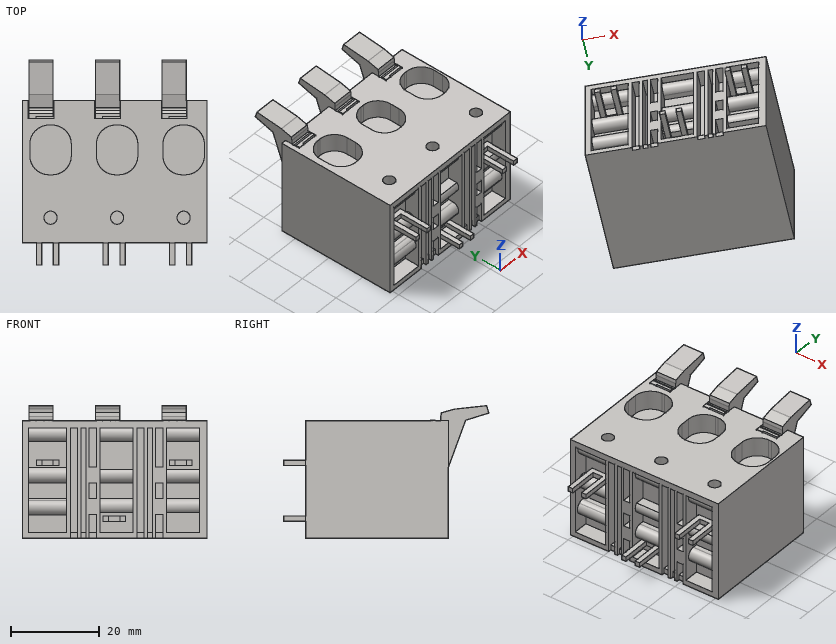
import cadquery as cq


width = 41.55
depth = 32.15
height = 26.5
pitch = 15.0
poles = 3
wall = 1.4

chamber_right = 9.9
chamber_width = 7.4
chamber_depth = 3.98
chamber_top = 24.9
first_chamber_left = wall

rib_radius = 1.75
rib_y = 2.77
upper_rib_z = 23.6
middle_rib_z = 14.25
lower_rib_z = 7.2
middle_rib_flat = 15.5
lower_rib_flat = 5.8
front_rib_y = 2.55
front_rib_z = 7.05

wide_slot_left = 10.77
wide_slot_width = 1.65
narrow_slot_left = 13.22
narrow_slot_width = 1.1
bridged_slot_left = 15.0
bridged_slot_width = 1.65
sill_setback = 0.8
bridge_height = 3.55
bridge_bottoms = (5.4, 12.5)

hole_x = 6.35
pocket_y = 20.95
pocket_width = 9.35
pocket_length = 11.2
pocket_corner = 4.3
pocket_depth = 5.0
test_hole_y = 5.7
test_hole_diameter = 2.95
test_hole_depth = 3.98

lever_left = 1.45
lever_width = 5.5
lever_clearance = 0.15
recess_front = 28.05
recess_floor = 16.0
lever_top = 29.9
lever_back = 41.25
stem_back = 36.0
stem_back_top = 26.6
stem_front = 30.4
stem_chamfer_run = 0.15
stem_chamfer_top = 28.3
stem_chamfer_bottom = 27.4
handle_tip = 40.75
handle_tip_bottom = 28.2
handle_bend = 33.5
handle_bend_top = 29.15
valley_floor = 26.15
valley_bend = 29.82
valley_bend_height = 26.25
toe_back = 29.15
toe_rise = 0.15
toe_top = height + toe_rise
toe_gap = 0.35
toe_tongue = 1.55

pin_left = 3.15
pin_span = 5.05
pin_size = 1.25
pin_overhang = 5.0
pin_bottoms = (16.35, 3.85, 16.35)


def box(x0, x1, y0, y1, z0, z1):
    """Box between opposite corners."""
    return cq.Workplane("XY").box(x1 - x0, y1 - y0, z1 - z0, centered=False).translate((x0, y0, z0))


def rod(x0, x1, y, z):
    """Round rib core along X."""
    return cq.Workplane("YZ", origin=(x0, 0, 0)).center(y, z).circle(rib_radius).extrude(x1 - x0)


def web(x0, x1, y, z0, z1):
    """Flat web joining a rib to the back of the chamber."""
    return box(x0, x1, y, chamber_depth, z0, z1)


def upper_rib(x0, x1):
    """Rib hanging from the top of the chamber."""
    core = rod(x0, x1, rib_y, upper_rib_z)
    return core.union(web(x0, x1, rib_y, upper_rib_z - rib_radius, chamber_top))


def middle_rib(x0, x1, flattened):
    """Round rib; flattened on top where asked."""
    core = rod(x0, x1, rib_y, middle_rib_z)
    if flattened:
        core = core.cut(box(x0, x1, 0, depth, middle_rib_flat, height))
    return core


def lower_rib(x0, x1):
    """Rib with a level top and a flattened underside."""
    core = rod(x0, x1, rib_y, lower_rib_z)
    core = core.union(web(x0, x1, rib_y, lower_rib_z, lower_rib_z + rib_radius))
    return core.cut(box(x0, x1, 0, depth, 0, lower_rib_flat))


def front_rib(x0, x1):
    """Second rib, slightly in front of the lower rib and below it."""
    core = rod(x0, x1, front_rib_y, front_rib_z)
    return core.union(web(x0, x1, front_rib_y, front_rib_z - rib_radius, front_rib_z))


def chamber(pole):
    """Space of one front chamber, with its ribs left out."""
    first = pole == 0
    x1 = chamber_right + pole * pitch
    x0 = first_chamber_left if first else x1 - chamber_width
    space = box(x0, x1, 0, chamber_depth, wall, chamber_top)
    space = space.cut(upper_rib(x0, x1)).cut(lower_rib(x0, x1))
    space = space.cut(middle_rib(x0, x1, flattened=not first))
    if first:
        space = space.cut(front_rib(x0, x1))
    return space


def slot(x0, slot_width):
    """Front slot that runs out through the bottom over a set-back sill."""
    x1 = x0 + slot_width
    space = box(x0, x1, 0, chamber_depth, wall, chamber_top)
    return space.union(box(x0, x1, 0, sill_setback, 0, wall))


def bridged_slot(x0):
    """Front slot crossed by two bridges."""
    space = slot(x0, bridged_slot_width)
    for z in bridge_bottoms:
        space = space.cut(box(x0, x0 + bridged_slot_width, 0, chamber_depth, z, z + bridge_height))
    return space


def pocket(x):
    """Blind pocket with well rounded corners."""
    start = cq.Workplane("XY", origin=(x, pocket_y, height - pocket_depth))
    space = start.rect(pocket_width, pocket_length).extrude(pocket_depth)
    return space.edges("|Z").fillet(pocket_corner)


def test_hole(x):
    """Small blind hole near the front edge."""
    start = cq.Workplane("XY", origin=(x, test_hole_y, height - test_hole_depth))
    return start.circle(test_hole_diameter / 2).extrude(test_hole_depth)


def lever_recess(offset):
    """Recess for one lever, open at the top and back of the housing."""
    x0 = lever_left + offset - lever_clearance
    x1 = lever_left + offset + lever_width + lever_clearance
    return box(x0, x1, recess_front, depth, recess_floor, height)


def make_housing():
    """Housing with all chambers, slots, holes and recesses cut out."""
    body = box(0, width, 0, depth, 0, height)
    for pole in range(poles):
        offset = pole * pitch
        body = body.cut(chamber(pole))
        body = body.cut(pocket(hole_x + offset)).cut(test_hole(hole_x + offset))
        body = body.cut(lever_recess(offset))
    for gap in range(poles - 1):
        offset = gap * pitch
        body = body.cut(slot(wide_slot_left + offset, wide_slot_width))
        body = body.cut(slot(narrow_slot_left + offset, narrow_slot_width))
        body = body.cut(bridged_slot(bridged_slot_left + offset))
    return body


def make_lever(offset):
    """Lever with a sloping handle, a stem down to the recess floor and a low toe in front."""
    x0 = lever_left + offset
    outline = [
        (recess_front, recess_floor),
        (depth, recess_floor),
        (stem_back, stem_back_top),
        (lever_back, handle_tip_bottom),
        (handle_tip, lever_top),
        (handle_bend, handle_bend_top),
        (stem_front + stem_chamfer_run, stem_chamfer_top),
        (stem_front, stem_chamfer_bottom),
        (stem_front, valley_floor),
        (valley_bend, valley_bend_height),
        (toe_back, toe_top),
        (recess_front, toe_top),
    ]
    lever = cq.Workplane("YZ", origin=(x0, 0, 0)).polyline(outline).close().extrude(lever_width)
    notch = box(
        x0 + toe_tongue, x0 + lever_width,
        recess_front, recess_front + toe_gap,
        recess_floor, toe_top,
    )
    return lever.cut(notch)


def make_pin(offset, z0):
    """U-shaped pin: two legs joined by a bar against the back of the chamber."""
    x0 = pin_left + offset
    x1 = x0 + pin_span
    z1 = z0 + pin_size
    frame = box(x0, x1, -pin_overhang, chamber_depth, z0, z1)
    opening = box(x0 + pin_size, x1 - pin_size, -pin_overhang, chamber_depth - pin_size, z0, z1)
    return frame.cut(opening)


housing = make_housing()
levers = [make_lever(pole * pitch) for pole in range(poles)]
pins = [make_pin(pole * pitch, pin_bottoms[pole]) for pole in range(poles)]

result = cq.Compound.makeCompound([
    housing.val(),
    *[lever.val() for lever in levers],
    *[pin.val() for pin in pins],
])